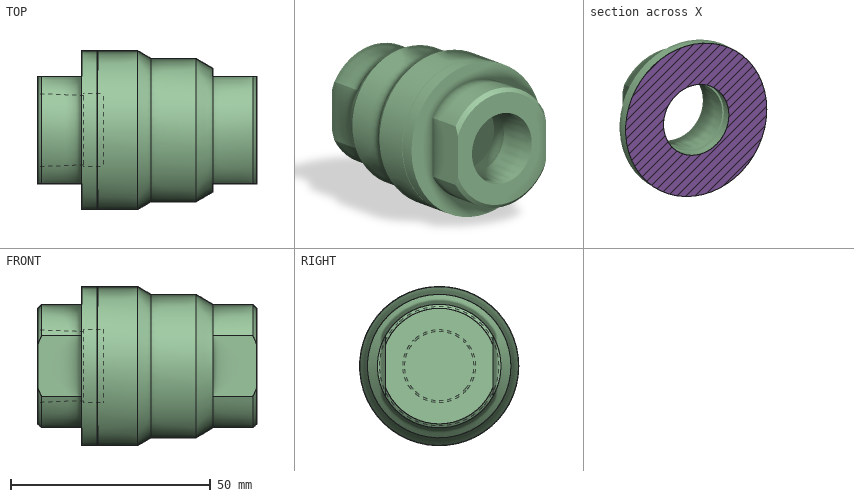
import cadquery as cq

length = 55.0
hub_length = 11.0
collar_start = hub_length
groove_position = 14.9
groove_width = 0.15
collar_end = 25.0
barrel_start = 28.45
barrel_end = 39.7
outlet_start = length - hub_length

hub_diameter = 31.0
collar_diameter = 40.0
barrel_diameter = 36.0
groove_floor_diameter = 30.0
across_flats = 27.0
end_chamfer = 1.0

bore_mouth_diameter = 18.3
bore_inner_diameter = 17.45
taper_depth = 11.55
relief_diameter = bore_mouth_diameter
relief_end = 16.5


def revolve_about_x(profile):
    """Revolve a closed (x, radius) profile around the part axis."""
    return cq.Workplane("XY").polyline(profile).close().revolve(360, (0, 0, 0), (1, 0, 0))


def make_hub(start):
    """Round hub with two wrench flats facing -Y and +Y, before end chamfering."""
    disc = cq.Workplane("YZ", origin=(start, 0, 0)).circle(hub_diameter / 2).extrude(hub_length)
    flats = (
        cq.Workplane("YZ", origin=(start, 0, 0))
        .rect(across_flats, collar_diameter)
        .extrude(hub_length)
    )
    return disc.intersect(flats)


def make_end_envelope():
    """Cylinder over the full length whose chamfers trim only the round hub ends."""
    return (
        cq.Workplane("YZ")
        .circle(hub_diameter / 2)
        .extrude(length)
        .faces("<X or >X")
        .chamfer(end_chamfer)
    )


def make_body():
    """Collar stepping down through two cones to the outlet hub."""
    collar_radius = collar_diameter / 2
    barrel_radius = barrel_diameter / 2
    return revolve_about_x([
        (collar_start, 0),
        (collar_start, collar_radius),
        (collar_end, collar_radius),
        (barrel_start, barrel_radius),
        (barrel_end, barrel_radius),
        (outlet_start, hub_diameter / 2),
        (outlet_start, 0),
    ])


def make_groove():
    """Ring that cuts the narrow, deep joint groove around the collar."""
    outer_radius = collar_diameter / 2
    inner_radius = groove_floor_diameter / 2
    return (
        cq.Workplane("YZ", origin=(groove_position, 0, 0))
        .circle(outer_radius)
        .circle(inner_radius)
        .extrude(groove_width)
    )


def make_bore():
    """Blind inlet bore: a narrowing taper, then a wider relief with a flat floor."""
    return revolve_about_x([
        (0, 0),
        (0, bore_mouth_diameter / 2),
        (taper_depth, bore_inner_diameter / 2),
        (taper_depth, relief_diameter / 2),
        (relief_end, relief_diameter / 2),
        (relief_end, 0),
    ])


hubs = make_hub(0).union(make_hub(outlet_start)).intersect(make_end_envelope())
result = make_body().union(hubs).cut(make_groove()).cut(make_bore())